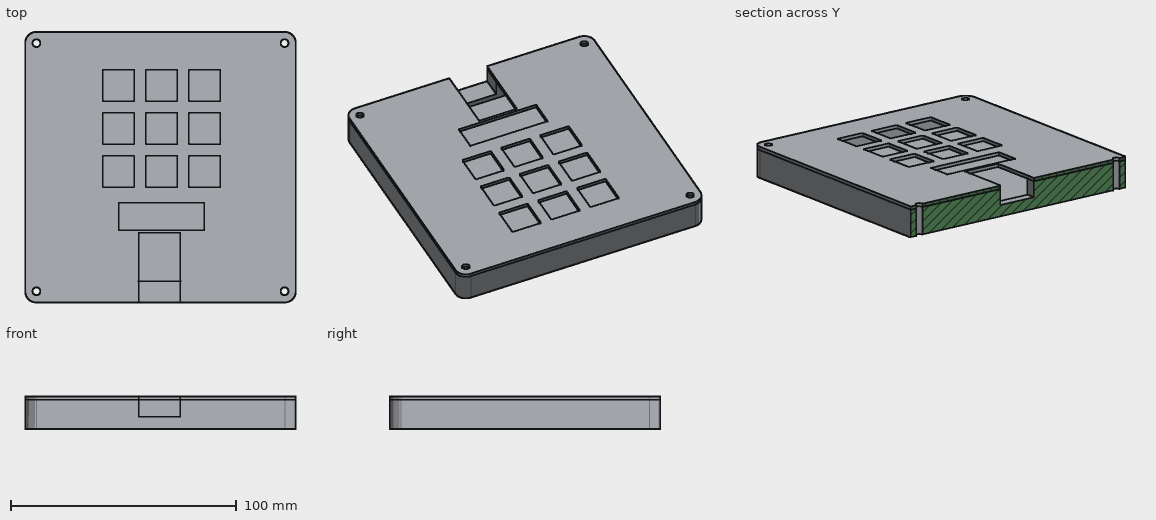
import cadquery as cq

SIDE = 120.0
HEIGHT = 14.5
LID_THICKNESS = 1.5
CASE_HEIGHT = HEIGHT - LID_THICKNESS
CORNER_RADIUS = 5.0

WALL = 9.5
CAVITY_SIDE = SIDE - 2 * WALL
FLOOR_THICKNESS = 3.0

SCREW_DIAMETER = 3.4
SCREW_SPACING = SIDE - 2 * CORNER_RADIUS

KEY_COUNT = 3
KEY_SIDE = 14.0
KEY_PITCH = 19.1
KEY_CORNER_RADIUS = 0.5
KEY_GRID_X = 0.5
KEY_GRID_Y = 17.2

DISPLAY_LENGTH = 37.9
DISPLAY_WIDTH = 12.0
DISPLAY_X = 0.4
DISPLAY_Y = -21.8

CONNECTOR_WIDTH = 18.5
CONNECTOR_X = -0.5
CONNECTOR_SLOT_LENGTH = 31.0
CONNECTOR_NOTCH_DEPTH = 7.5


def box_on(z, length, width, height, x=0.0, y=0.0):
    """Box centred on (x, y) and standing on height z."""
    return cq.Workplane("XY").box(length, width, height, centered=(True, True, False)).translate((x, y, z))


def drilled_slab(z, height):
    """Square slab with rounded corners and the four corner screw holes."""
    slab = box_on(z, SIDE, SIDE, height).edges("|Z").fillet(CORNER_RADIUS)
    screw_holes = (
        cq.Workplane("XY", origin=(0, 0, z))
        .rect(SCREW_SPACING, SCREW_SPACING, forConstruction=True)
        .vertices()
        .circle(SCREW_DIAMETER / 2)
        .extrude(height)
    )
    return slab.cut(screw_holes)


def connector_opening(z, length, height):
    """Cutter that runs inward from the front side by the given length."""
    return box_on(z, CONNECTOR_WIDTH, length, height, CONNECTOR_X, (length - SIDE) / 2)


def make_case():
    """Open tray with a notch through its front wall."""
    cavity = box_on(FLOOR_THICKNESS, CAVITY_SIDE, CAVITY_SIDE, CASE_HEIGHT - FLOOR_THICKNESS)
    notch = connector_opening(CASE_HEIGHT - CONNECTOR_NOTCH_DEPTH, WALL, CONNECTOR_NOTCH_DEPTH)
    return drilled_slab(0, CASE_HEIGHT).cut(cavity).cut(notch)


def make_lid():
    """Flat cover with the key windows, the display window and the connector slot."""
    key_windows = (
        cq.Workplane("XY", origin=(KEY_GRID_X, KEY_GRID_Y, CASE_HEIGHT))
        .rarray(KEY_PITCH, KEY_PITCH, KEY_COUNT, KEY_COUNT)
        .rect(KEY_SIDE, KEY_SIDE)
        .extrude(LID_THICKNESS)
        .edges("|Z")
        .fillet(KEY_CORNER_RADIUS)
    )
    display_window = box_on(CASE_HEIGHT, DISPLAY_LENGTH, DISPLAY_WIDTH, LID_THICKNESS, DISPLAY_X, DISPLAY_Y)
    connector_slot = connector_opening(CASE_HEIGHT, CONNECTOR_SLOT_LENGTH, LID_THICKNESS)
    return drilled_slab(CASE_HEIGHT, LID_THICKNESS).cut(key_windows).cut(display_window).cut(connector_slot)


case = make_case()
lid = make_lid()

result = cq.Compound.makeCompound([case.val(), lid.val()])